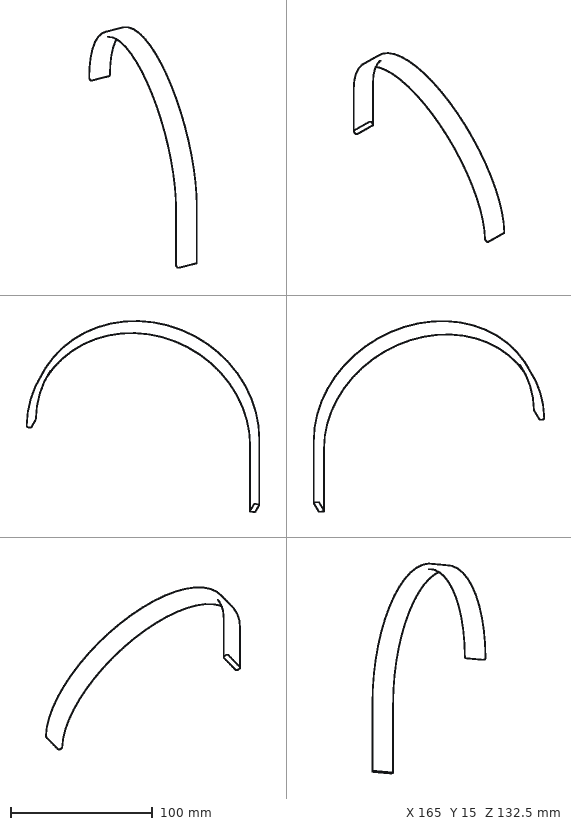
import cadquery as cq

outer_diameter = 165.0
thickness = 4.0
width = 15.0
leg_length = 50.0
edge_round = 1.0
end_round = 1.5

outer_radius = outer_diameter / 2
inner_radius = outer_radius - thickness


def half_ring():
    """Upper half of a flat ring, axis along Y, centred on the origin."""
    return (
        cq.Workplane("XZ")
        .moveTo(-outer_radius, 0)
        .threePointArc((0, outer_radius), (outer_radius, 0))
        .lineTo(inner_radius, 0)
        .threePointArc((0, inner_radius), (-inner_radius, 0))
        .close()
        .extrude(width / 2, both=True)
    )


def straight_leg():
    """Flat strip running down from the +X end of the half ring."""
    return (
        cq.Workplane("XZ")
        .moveTo(inner_radius, 0)
        .lineTo(outer_radius, 0)
        .lineTo(outer_radius, -leg_length)
        .lineTo(inner_radius, -leg_length)
        .close()
        .extrude(width / 2, both=True)
    )


def free_end_corners(body):
    """The two edges across the width at the free (-X) end of the ring."""
    return body.edges("|Y").edges(
        cq.selectors.BoxSelector(
            (-outer_radius - thickness, -width, -thickness),
            (-inner_radius + thickness, width, thickness),
        )
    )


def side_outline(body):
    """Edges around both side faces, leaving out the square foot of the leg."""
    outline = body.faces("<Y or >Y").edges()
    foot = body.faces("<Z").edges("|X")
    return outline.newObject([edge for edge in outline.vals() if edge not in foot.vals()])


strap = half_ring().union(straight_leg())
strap = free_end_corners(strap).fillet(end_round)
result = side_outline(strap).fillet(edge_round)